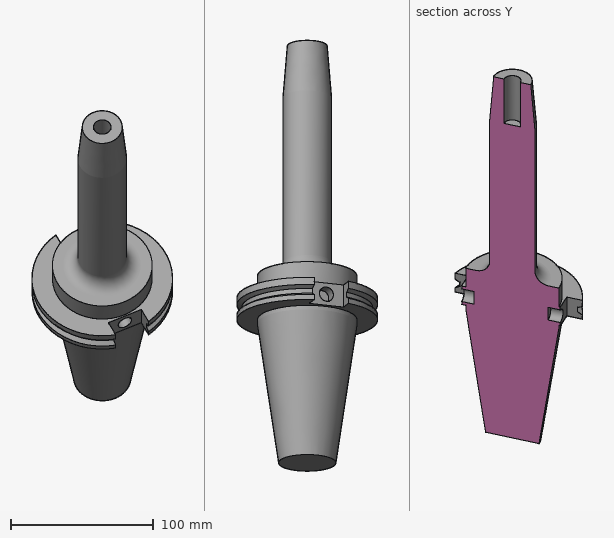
import cadquery as cq
import math

total_height = 304.8
gauge_level = 101.5
flange_bottom = 104.5
flange_thickness = 16.2
collar_top = 136.5
nose_length = 37.8
flange_top = flange_bottom + flange_thickness
nose_base = total_height - nose_length

gauge_radius = 69.8 / 2
taper_ratio = 7 / 24
taper_end_radius = gauge_radius - gauge_level * taper_ratio / 2
flange_radius = 98.5 / 2
collar_radius = 69.8 / 2
shank_radius = 34.0 / 2
nose_tip_radius = 28.0 / 2
shank_fillet = 10.0

lower_land = 3.7
upper_land = 5.2
groove_depth = 3.5
groove_side_angle = math.radians(30)
groove_side_height = groove_depth * math.tan(groove_side_angle)
groove_bottom = flange_bottom + lower_land
groove_top = flange_top - upper_land
groove_radius = flange_radius - groove_depth

slot_width = 25.5
left_floor_distance = 37.8
right_floor_distance = 36.0
slot_hole_diameter = 10.5
slot_hole_depth = 9.0
bore_diameter = 12.2
bore_depth = nose_length


def turned_body():
    """Revolve the half profile of taper, flange, collar, shank and nose."""
    fillet_reach = shank_fillet * (1 - math.sqrt(0.5))
    return (
        cq.Workplane("XZ")
        .lineTo(taper_end_radius, 0)
        .lineTo(gauge_radius, gauge_level)
        .lineTo(gauge_radius, flange_bottom)
        .lineTo(flange_radius, flange_bottom)
        .lineTo(flange_radius, groove_bottom)
        .lineTo(groove_radius, groove_bottom + groove_side_height)
        .lineTo(groove_radius, groove_top - groove_side_height)
        .lineTo(flange_radius, groove_top)
        .lineTo(flange_radius, flange_top)
        .lineTo(collar_radius, flange_top)
        .lineTo(collar_radius, collar_top)
        .lineTo(shank_radius + shank_fillet, collar_top)
        .threePointArc(
            (shank_radius + fillet_reach, collar_top + fillet_reach),
            (shank_radius, collar_top + shank_fillet),
        )
        .lineTo(shank_radius, nose_base)
        .lineTo(nose_tip_radius, total_height)
        .lineTo(0, total_height)
        .close()
        .revolve(360, (0, 0, 0), (0, 1, 0))
    )


def drive_slot(side, floor_distance):
    """Cutter for the slot on one side (+1 or -1 along X) with its floor hole."""
    slot_depth = flange_radius - floor_distance
    slot = cq.Workplane("XY").box(slot_depth, slot_width, flange_thickness)
    slot_middle = flange_bottom + flange_thickness / 2
    slot = slot.translate((side * (floor_distance + slot_depth / 2), 0, slot_middle))
    hole = (
        cq.Workplane("YZ", origin=(side * floor_distance, 0, slot_middle))
        .circle(slot_hole_diameter / 2)
        .extrude(-side * slot_hole_depth)
    )
    return slot.union(hole)


result = turned_body()

for side, floor_distance in ((-1, left_floor_distance), (1, right_floor_distance)):
    result = result.cut(drive_slot(side, floor_distance))

bore = (
    cq.Workplane("XY", origin=(0, 0, total_height))
    .circle(bore_diameter / 2)
    .extrude(-bore_depth)
)
result = result.cut(bore)